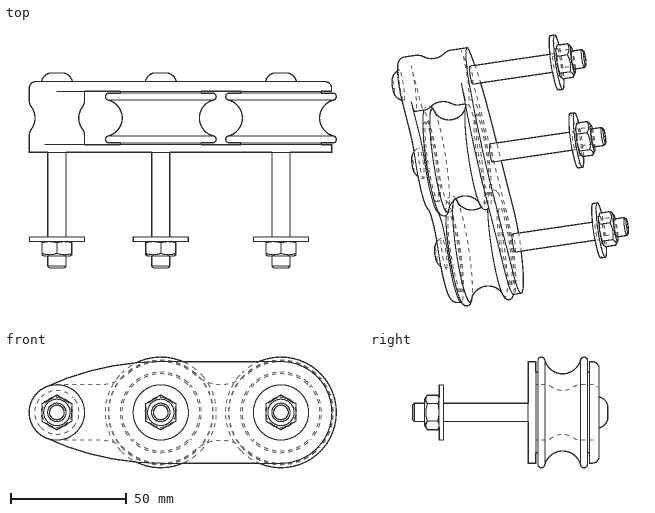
import cadquery as cq
import math

POST_X = 0.0
ROLLER_XS = (45.0, 97.0)
AXIS_XS = (POST_X,) + ROLLER_XS

POST_R = 24.1 / 2
PLATE_END_R = 44.0 / 2
FRONT_PLATE_T = 3.3
REAR_INNER_Y = 26.5
REAR_OUTER_Y = 30.7
REAR_EDGE_FILLET = 3.0

MID_Y = 14.9
GROOVE_R = 8.0
POST_WAIST_R = 19.0 / 2
POST_GROOVE_FILLET = 5.0

ROLLER_R = 48.0 / 2
ROLLER_WIDTH = 21.5
FLANGE_T = 3.0
ROLLER_WAIST_R = 16.8
SPACER_D = 35.0

BOLT_D = 8.0
BOLT_TIP_Y = -50.0
BOLT_TIP_CHAMFER = 0.8
HEAD_BASE_D = 13.5
HEAD_TOP_D = 6.1
HEAD_TOP_Y = 34.5
HEAD_ROUND_R = 5.3
WASHER_D = 24.0
WASHER_T = 2.0
WASHER_BACK_Y = -36.6
NUT_SIDES = 6
NUT_FLATS = 13.0
NUT_LENGTH = 6.3
NUT_END_FACE_D = 11.5
NUT_END_CHAMFER = 1.2
NUT_INNER_FACE_D = 12.9
NUT_INNER_CHAMFER = 0.5


def slab(outline, y_start, y_end):
    """Extrude an XZ outline from y_start to y_end."""
    return outline.extrude(y_start - y_end).translate((0, y_start, 0))


def disc(x, diameter, y_start, y_end):
    return slab(cq.Workplane("XZ").center(x, 0).circle(diameter / 2), y_start, y_end)


def spin(profile, x):
    """Revolve a closed (radius, Y) profile about the bolt axis at x."""
    return profile.close().revolve(360, (0, 0, 0), (0, 1, 0)).translate((x, 0, 0))


def front_plate():
    """Teardrop: large round end, straight sides, then arcs ending tangent to the post."""
    near_x, far_x = ROLLER_XS
    side_r = (near_x**2 + PLATE_END_R**2 - POST_R**2) / (2 * (PLATE_END_R - POST_R))
    angle = math.atan2(near_x, side_r - PLATE_END_R)
    touch_x = -POST_R * math.sin(angle)
    touch_z = POST_R * math.cos(angle)
    mid_x = near_x - side_r * math.sin(angle / 2)
    mid_z = PLATE_END_R - side_r * (1 - math.cos(angle / 2))
    outline = (
        cq.Workplane("XZ")
        .moveTo(touch_x, touch_z)
        .threePointArc((mid_x, mid_z), (near_x, PLATE_END_R))
        .lineTo(far_x, PLATE_END_R)
        .threePointArc((far_x + PLATE_END_R, 0), (far_x, -PLATE_END_R))
        .lineTo(near_x, -PLATE_END_R)
        .threePointArc((mid_x, -mid_z), (touch_x, -touch_z))
        .close()
    )
    return slab(outline, 0, FRONT_PLATE_T)


def rear_plate():
    """Waisted plate: round lobes behind the rollers joined by concave arcs."""
    near_x, far_x = ROLLER_XS
    half_pitch = (far_x - near_x) / 2
    waist_r = (half_pitch**2 + POST_R**2 - PLATE_END_R**2) / (2 * (PLATE_END_R - POST_R))
    touch = PLATE_END_R / (PLATE_END_R + waist_r)
    dx = half_pitch * touch
    z = (POST_R + waist_r) * touch
    half_angle = math.atan2(half_pitch, POST_R + waist_r) / 2
    arc_dx = half_pitch - waist_r * math.sin(half_angle)
    arc_z = POST_R + waist_r * (1 - math.cos(half_angle))
    outline = (
        cq.Workplane("XZ")
        .moveTo(POST_X, POST_R)
        .lineTo(near_x - half_pitch, POST_R)
        .threePointArc((near_x - arc_dx, arc_z), (near_x - dx, z))
        .threePointArc((near_x, PLATE_END_R), (near_x + dx, z))
        .threePointArc((near_x + half_pitch, POST_R), (far_x - dx, z))
        .threePointArc((far_x + PLATE_END_R, 0), (far_x - dx, -z))
        .threePointArc((near_x + half_pitch, -POST_R), (near_x + dx, -z))
        .threePointArc((near_x, -PLATE_END_R), (near_x - dx, -z))
        .threePointArc((near_x - arc_dx, -arc_z), (near_x - half_pitch, -POST_R))
        .lineTo(POST_X, -POST_R)
        .threePointArc((POST_X - POST_R, 0), (POST_X, POST_R))
        .close()
    )
    plate = slab(outline, REAR_INNER_Y, REAR_OUTER_Y)
    return plate.faces(">Y").edges().fillet(REAR_EDGE_FILLET)


def post():
    """Cylinder with a rounded groove, reaching from the front face to the rear plate."""
    centre_r = POST_WAIST_R + GROOVE_R
    fillet_r = POST_R - POST_GROOVE_FILLET
    reach = GROOVE_R + POST_GROOVE_FILLET
    half_width = math.sqrt(reach**2 - (centre_r - fillet_r) ** 2)
    angle = math.asin(half_width / reach)
    join_r = centre_r - GROOVE_R * math.cos(angle)
    join_dy = GROOVE_R * math.sin(angle)
    round_r = fillet_r + POST_GROOVE_FILLET * math.cos(angle / 2)
    round_dy = half_width - POST_GROOVE_FILLET * math.sin(angle / 2)
    profile = (
        cq.Workplane("XY")
        .lineTo(POST_R, 0)
        .lineTo(POST_R, MID_Y - half_width)
        .threePointArc((round_r, MID_Y - round_dy), (join_r, MID_Y - join_dy))
        .threePointArc((POST_WAIST_R, MID_Y), (join_r, MID_Y + join_dy))
        .threePointArc((round_r, MID_Y + round_dy), (POST_R, MID_Y + half_width))
        .lineTo(POST_R, REAR_INNER_Y)
        .lineTo(0, REAR_INNER_Y)
    )
    return spin(profile, POST_X)


def roller(x):
    """Grooved roller with round-edged flanges and a thin spacer disc against each plate."""
    half_width = ROLLER_WIDTH / 2
    groove_dy = half_width - FLANGE_T
    flange_dy = half_width - FLANGE_T / 2
    flange_r = ROLLER_R - FLANGE_T / 2
    groove_edge_r = ROLLER_WAIST_R + GROOVE_R - math.sqrt(GROOVE_R**2 - groove_dy**2)
    profile = (
        cq.Workplane("XY")
        .moveTo(0, MID_Y - half_width)
        .lineTo(flange_r, MID_Y - half_width)
        .threePointArc((ROLLER_R, MID_Y - flange_dy), (flange_r, MID_Y - groove_dy))
        .lineTo(groove_edge_r, MID_Y - groove_dy)
        .threePointArc((ROLLER_WAIST_R, MID_Y), (groove_edge_r, MID_Y + groove_dy))
        .lineTo(flange_r, MID_Y + groove_dy)
        .threePointArc((ROLLER_R, MID_Y + flange_dy), (flange_r, MID_Y + half_width))
        .lineTo(0, MID_Y + half_width)
    )
    front_spacer = disc(x, SPACER_D, FRONT_PLATE_T, MID_Y - half_width)
    rear_spacer = disc(x, SPACER_D, MID_Y + half_width, REAR_INNER_Y)
    return spin(profile, x).union(front_spacer).union(rear_spacer)


def bolt(x):
    """Round-headed bolt with a chamfered tip."""
    shank = disc(x, BOLT_D, BOLT_TIP_Y, REAR_OUTER_Y).faces("<Y").chamfer(BOLT_TIP_CHAMFER)
    dome = (
        cq.Workplane("XY")
        .moveTo(0, REAR_OUTER_Y)
        .lineTo(HEAD_BASE_D / 2, REAR_OUTER_Y)
        .radiusArc((HEAD_TOP_D / 2, HEAD_TOP_Y), -HEAD_ROUND_R)
        .lineTo(0, HEAD_TOP_Y)
    )
    return shank.union(spin(dome, x))


def nut(x):
    """Hexagon, points up and down, with both ends coned and the outer end coned more deeply."""
    inner_y = WASHER_BACK_Y - WASHER_T
    end_y = inner_y - NUT_LENGTH
    corner_r = NUT_FLATS / (2 * math.cos(math.pi / NUT_SIDES))
    hexagon = slab(cq.Workplane("XZ").polygon(NUT_SIDES, 2 * corner_r), end_y, inner_y)
    hexagon = hexagon.rotate((0, 0, 0), (0, 1, 0), 180 / NUT_SIDES).translate((x, 0, 0))
    envelope = (
        cq.Workplane("XY")
        .moveTo(0, end_y)
        .lineTo(NUT_END_FACE_D / 2, end_y)
        .lineTo(corner_r, end_y + NUT_END_CHAMFER)
        .lineTo(corner_r, inner_y - NUT_INNER_CHAMFER)
        .lineTo(NUT_INNER_FACE_D / 2, inner_y)
        .lineTo(0, inner_y)
    )
    return hexagon.intersect(spin(envelope, x))


def washer(x):
    return disc(x, WASHER_D, WASHER_BACK_Y - WASHER_T, WASHER_BACK_Y)


result = front_plate().union(rear_plate()).union(post())
for roller_x in ROLLER_XS:
    result = result.union(roller(roller_x))
for axis_x in AXIS_XS:
    result = result.union(bolt(axis_x)).union(washer(axis_x)).union(nut(axis_x))